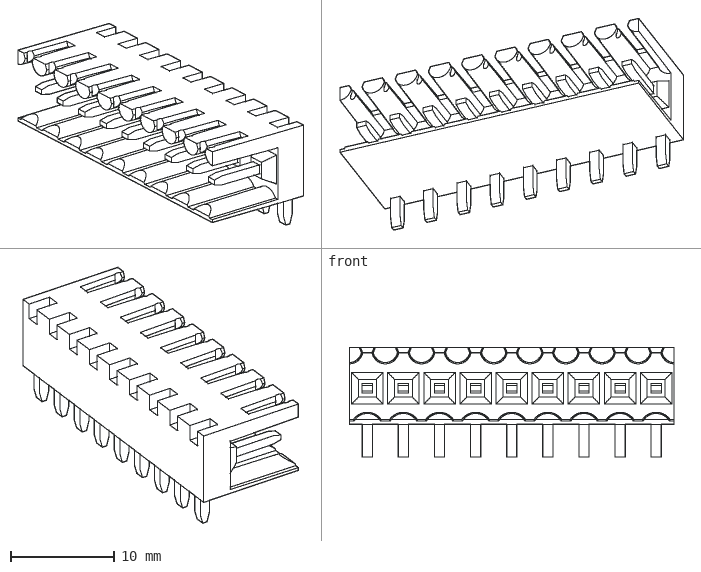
import cadquery as cq

PIN_COUNT = 9
LENGTH = 31.5
DEPTH = 11.05
HEIGHT = 7.45
PITCH = LENGTH / PIN_COUNT

CAVITY_DEPTH = 7.95
DRAFT = 0.13
ROOF_THICKNESS = 0.57
FLOOR_THICKNESS = 0.45

TOOTH_RADIUS = 1.32
TOOTH_AXIS_Z = HEIGHT - 0.28
HUMP_RADIUS = 1.65
HUMP_AXIS_Z = -0.47

BEVEL_START_Z = 0.47
BEVEL_RISE = 0.63
BEVEL_LENGTH = 0.95

SLOT_LENGTH = 5.1
SLOT_REAR_WIDTH = 1.32
SLOT_FRONT_WIDTH = 1.58
SLOT_NARROWING = 0.57
SLOT_CUT_DEPTH = 0.7

NOTCH_RADIUS = 0.4
NOTCH_LENGTH = 1.75
NOTCH_FROM_FRONT = 0.7

REAR_NOTCH_WIDTH = 1.32
REAR_NOTCH_LENGTH = 2.35
REAR_NOTCH_DEPTH = 1.65

COLLAR_BASE = 3.05
COLLAR_TIP = 1.73
COLLAR_HEIGHT = 1.32

PIN_WIDTH = 1.0
ARM_THICKNESS = 0.95
FOOT_THICKNESS = 1.07
PIN_TIP = 0.5
PIN_TAPER = 0.88
PIN_FRONT_GAP = 1.2
PIN_AXIS_Z = HEIGHT - 3.97
FOOT_AXIS_Y = DEPTH - 0.98
FOOT_LENGTH = 3.18
FOOT_TAPER = 1.0

pin_positions = [(i - (PIN_COUNT - 1) / 2) * PITCH for i in range(PIN_COUNT)]
tooth_positions = [(i - PIN_COUNT / 2) * PITCH for i in range(PIN_COUNT + 1)]


def side_prism(points, width, x_center=0.0):
    """Extrude a (y, z) outline along X, centred on x_center."""
    return cq.Workplane("YZ", origin=(x_center - width / 2, 0, 0)).polyline(points).close().extrude(width)


def make_rib(x, axis_z, rear_radius):
    """Drafted round rib along the cavity, thinner at the front."""
    cone = cq.Solid.makeCone(
        rear_radius - DRAFT, rear_radius, CAVITY_DEPTH, cq.Vector(x, 0, axis_z), cq.Vector(0, 1, 0)
    )
    return cq.Workplane(obj=cone)


def make_cavity():
    """Space between roof and floor, less the teeth above and the humps below."""
    roof_z = HEIGHT - ROOF_THICKNESS
    cavity = side_prism(
        [
            (0, FLOOR_THICKNESS - DRAFT),
            (CAVITY_DEPTH, FLOOR_THICKNESS),
            (CAVITY_DEPTH, roof_z),
            (0, roof_z + DRAFT),
        ],
        LENGTH,
    )
    for x in tooth_positions:
        cavity = cavity.cut(make_rib(x, TOOTH_AXIS_Z, TOOTH_RADIUS))
    for x in pin_positions:
        cavity = cavity.cut(make_rib(x, HUMP_AXIS_Z, HUMP_RADIUS))
    return cavity


def make_hump_bevel():
    """Wedge that slopes the front ends of all the humps."""
    bevel_top_z = BEVEL_START_Z + BEVEL_RISE
    return side_prism([(0, BEVEL_START_Z), (BEVEL_LENGTH, bevel_top_z), (0, bevel_top_z)], LENGTH)


def slot_section(y, top_width):
    """Upright trapezoid across a roof slot, narrow side down."""
    bottom_z = HEIGHT - SLOT_CUT_DEPTH
    bottom_width = top_width - SLOT_NARROWING
    return cq.Wire.makePolygon(
        [
            cq.Vector(-top_width / 2, y, HEIGHT),
            cq.Vector(top_width / 2, y, HEIGHT),
            cq.Vector(bottom_width / 2, y, bottom_z),
            cq.Vector(-bottom_width / 2, y, bottom_z),
        ],
        close=True,
    )


def make_roof_slot(x):
    """Tapered slot with its round-ended cross notch."""
    sections = [slot_section(0, SLOT_FRONT_WIDTH), slot_section(SLOT_LENGTH, SLOT_REAR_WIDTH)]
    slot = cq.Workplane(obj=cq.Solid.makeLoft(sections, True))
    tooth_bottom_z = TOOTH_AXIS_Z - TOOTH_RADIUS
    notch = (
        cq.Workplane("XY", origin=(0, NOTCH_FROM_FRONT, tooth_bottom_z))
        .slot2D(NOTCH_LENGTH, 2 * NOTCH_RADIUS)
        .extrude(HEIGHT - tooth_bottom_z)
    )
    return slot.union(notch).translate((x, 0, 0))


def make_rear_notch(x):
    """Rectangular notch in the top rear edge."""
    corner = (x - REAR_NOTCH_WIDTH / 2, DEPTH - REAR_NOTCH_LENGTH, HEIGHT - REAR_NOTCH_DEPTH)
    notch = cq.Workplane("XY").box(REAR_NOTCH_WIDTH, REAR_NOTCH_LENGTH, REAR_NOTCH_DEPTH, centered=False)
    return notch.translate(corner)


def make_collar(x):
    """Truncated pyramid on the back wall of the cavity."""
    return (
        cq.Workplane("XZ", origin=(x, CAVITY_DEPTH, PIN_AXIS_Z))
        .rect(COLLAR_BASE, COLLAR_BASE)
        .workplane(offset=COLLAR_HEIGHT)
        .rect(COLLAR_TIP, COLLAR_TIP)
        .loft(ruled=True)
    )


def make_pin(x):
    """Right-angle pin with a contact arm to the front and a solder foot below."""
    half_arm = ARM_THICKNESS / 2
    half_foot = FOOT_THICKNESS / 2
    half_tip = PIN_TIP / 2
    arm_taper_y = PIN_FRONT_GAP + PIN_TAPER
    foot_taper_z = FOOT_TAPER - FOOT_LENGTH
    outline = [
        (PIN_FRONT_GAP, PIN_AXIS_Z + half_tip),
        (arm_taper_y, PIN_AXIS_Z + half_arm),
        (FOOT_AXIS_Y + half_foot, PIN_AXIS_Z + half_arm),
        (FOOT_AXIS_Y + half_foot, foot_taper_z),
        (FOOT_AXIS_Y + half_tip, -FOOT_LENGTH),
        (FOOT_AXIS_Y - half_tip, -FOOT_LENGTH),
        (FOOT_AXIS_Y - half_foot, foot_taper_z),
        (FOOT_AXIS_Y - half_foot, PIN_AXIS_Z - half_arm),
        (arm_taper_y, PIN_AXIS_Z - half_arm),
        (PIN_FRONT_GAP, PIN_AXIS_Z - half_tip),
    ]
    return side_prism(outline, PIN_WIDTH, x)


def make_housing(pins):
    """Housing with its cavity, slots and collars, and a matching hole for each pin."""
    housing = cq.Workplane("XY").box(LENGTH, DEPTH, HEIGHT, centered=(True, False, False))
    housing = housing.cut(make_cavity()).cut(make_hump_bevel())
    for x, pin in zip(pin_positions, pins):
        housing = housing.cut(make_roof_slot(x)).cut(make_rear_notch(x))
        housing = housing.union(make_collar(x)).cut(pin)
    return housing


pins = [make_pin(x) for x in pin_positions]
housing = make_housing(pins)

result = cq.Compound.makeCompound([housing.val(), *[pin.val() for pin in pins]])